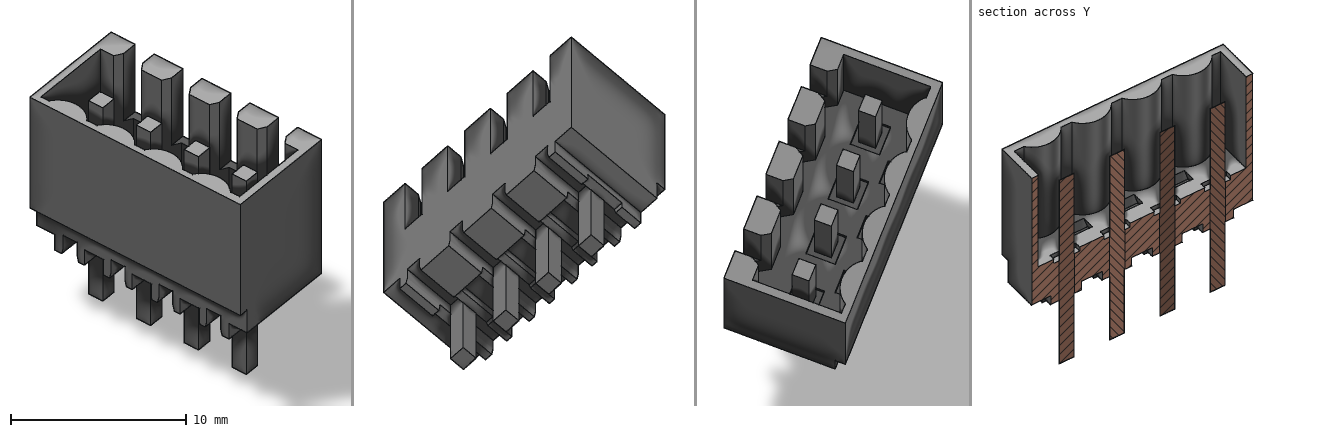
import cadquery as cq


LENGTH = 15.4
DEPTH = 7.45
HEIGHT = 15.55

PIN_COUNT = 4
PITCH = 3.5
PIN_SIZE = 1.04
PIN_Y = 3.48
PIN_DROP = 1.18
PIN_XS = [PITCH * (i - (PIN_COUNT - 1) / 2) for i in range(PIN_COUNT)]
GAP_XS = [x + PITCH / 2 for x in PIN_XS[:-1]]

BASE_Z = 5.61
STEP_Z = 7.31
STEP_DEPTH = 0.62

FLOOR_Z = 8.4
END_WALL = 0.48
FRONT_WALL = 0.42
BACK_WALL = 1.57
CORNER_WALL = 0.55
SCALLOP_RADIUS = 1.66
SCALLOP_REACH = 1.15
CAVITY_HALF = LENGTH / 2 - END_WALL
CAVITY_BACK = DEPTH - BACK_WALL
CAVITY_DEPTH = HEIGHT - FLOOR_Z

KEY_DEPTH = 1.03
KEY_MOUTH = 2.02
KEY_BOTTOM = 0.76
SLOT_WIDTH = 1.38
SLOT_DEPTH = 5.0

SEAT_SIZE = 1.79
SEAT_DEPTH = 0.31
RAMP_WIDTH = 1.42
RAMP_FRONT_Y = 1.14
RAMP_FOOT_Y = 1.51
RAMP_BACK_Y = 1.99
RAMP_DEPTH = 0.37

FOOT_Z = 4.46
FOOT_INSET = 1.32
CHANNEL_HEIGHT = 0.48
CHANNEL_FRONT_Y = 2.13
CHANNEL_BACK_Y = 4.84
WINDOW_WIDTH = 1.42
NOTCH_HEIGHT = 1.42
NOTCH_WIDTH = 1.01
NOTCH_FLARE = 0.11
FLARE_HEIGHT = 0.45


def block(x_min, x_max, y_min, y_max, z_min, z_max):
    """Box given by its limits along each axis."""
    size = (x_max - x_min, y_max - y_min, z_max - z_min)
    return cq.Workplane("XY").box(*size, centered=False).translate((x_min, y_min, z_min))


def centred_block(x, width, y_min, y_max, z_min, z_max):
    """Box centred on x, with limits along Y and Z."""
    return block(x - width / 2, x + width / 2, y_min, y_max, z_min, z_max)


def square_post(x, size, z_min, z_max):
    """Square upright centred on a pin axis."""
    return centred_block(x, size, PIN_Y - size / 2, PIN_Y + size / 2, z_min, z_max)


def shell():
    """Outer block with its stepped front and the feet strip below."""
    upper = centred_block(0, LENGTH, 0, DEPTH, STEP_Z, HEIGHT)
    lower = centred_block(0, LENGTH, STEP_DEPTH, DEPTH, BASE_Z, STEP_Z)
    feet = centred_block(0, LENGTH - 2 * FOOT_INSET, STEP_DEPTH, DEPTH, FOOT_Z, BASE_Z)
    return upper.union(lower).union(feet)


def keyway(x):
    """Tapered groove in the inner side of the back wall."""
    outline = [
        (x - KEY_MOUTH / 2, CAVITY_BACK),
        (x + KEY_MOUTH / 2, CAVITY_BACK),
        (x + KEY_BOTTOM / 2, CAVITY_BACK + KEY_DEPTH),
        (x - KEY_BOTTOM / 2, CAVITY_BACK + KEY_DEPTH),
    ]
    return cq.Workplane("XY", origin=(0, 0, FLOOR_Z)).polyline(outline).close().extrude(CAVITY_DEPTH)


def scallop(x):
    """Rounded rib left standing on the inner side of the front wall."""
    centre = (x, SCALLOP_REACH - SCALLOP_RADIUS, FLOOR_Z)
    return cq.Workplane("XY", origin=centre).circle(SCALLOP_RADIUS).extrude(CAVITY_DEPTH)


def cavity():
    """Space inside the housing, above the floor."""
    space = centred_block(0, 2 * CAVITY_HALF, FRONT_WALL, CAVITY_BACK, FLOOR_Z, HEIGHT)
    space = space.cut(block(PIN_XS[-1], CAVITY_HALF, FRONT_WALL, CORNER_WALL, FLOOR_Z, HEIGHT))
    for x in PIN_XS:
        space = space.cut(scallop(x)).union(keyway(x))
    return space


def ramp_pocket(x):
    """Floor pocket whose front side slopes up to the floor."""
    profile = [
        (RAMP_FRONT_Y, FLOOR_Z),
        (RAMP_FOOT_Y, FLOOR_Z - RAMP_DEPTH),
        (RAMP_BACK_Y, FLOOR_Z - RAMP_DEPTH),
        (RAMP_BACK_Y, FLOOR_Z),
    ]
    start = (x - RAMP_WIDTH / 2, 0, 0)
    return cq.Workplane("YZ", origin=start).polyline(profile).close().extrude(RAMP_WIDTH)


def pin_notch(x):
    """Notch across the feet at a pin, flared at its mouth."""
    inner = NOTCH_WIDTH / 2
    outer = inner + NOTCH_FLARE
    top = FOOT_Z + NOTCH_HEIGHT
    outline = [
        (x - outer, FOOT_Z),
        (x - inner, FOOT_Z + FLARE_HEIGHT),
        (x - inner, top),
        (x + inner, top),
        (x + inner, FOOT_Z + FLARE_HEIGHT),
        (x + outer, FOOT_Z),
    ]
    back = cq.Workplane("XZ", origin=(0, DEPTH, 0))
    return back.polyline(outline).close().extrude(DEPTH - STEP_DEPTH)


def make_housing():
    body = shell().cut(cavity())
    channel_top = FOOT_Z + CHANNEL_HEIGHT
    body = body.cut(centred_block(0, LENGTH, CHANNEL_FRONT_Y, CHANNEL_BACK_Y, FOOT_Z, channel_top))
    for x in PIN_XS:
        slot = centred_block(x, SLOT_WIDTH, CAVITY_BACK, DEPTH, HEIGHT - SLOT_DEPTH, HEIGHT)
        seat = square_post(x, SEAT_SIZE, FLOOR_Z - SEAT_DEPTH, FLOOR_Z)
        pin_hole = square_post(x, PIN_SIZE, 0, HEIGHT)
        body = body.cut(slot).cut(seat).cut(pin_hole).cut(pin_notch(x))
    for x in GAP_XS:
        window = centred_block(x, WINDOW_WIDTH, STEP_DEPTH, CHANNEL_BACK_Y, FOOT_Z, BASE_Z)
        body = body.cut(window).cut(ramp_pocket(x))
    return body


def make_pin(x):
    return square_post(x, PIN_SIZE, 0, HEIGHT - PIN_DROP)


housing = make_housing()
pins = [make_pin(x) for x in PIN_XS]

result = cq.Compound.makeCompound([housing.val(), *[pin.val() for pin in pins]])